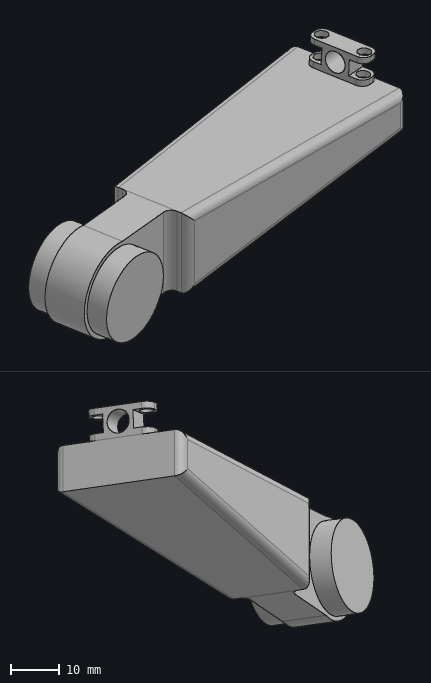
import cadquery as cq
import math

overall_length = 100.5

hub_diameter = 22.0
disc_diameter = 20.0
hub_width = 20.0

neck_width = 10.0
neck_hub_y = 2.4
neck_fillet = 2.0

body_length = 70.0
body_front_width = 20.0
body_back_width = 30.0
body_front_height = 20.0
body_back_height = 10.0
body_fillet = 2.0
taper_angle = math.degrees(math.atan((body_front_height - body_back_height) / 2 / body_length))

plate_length = 15.0
plate_depth = 5.0
plate_thickness = 1.5
plate_corner_radius = 2.0
bracket_height = 6.9
pin_spacing = 11.0
pin_diameter = 3.0
web_width = 7.0
web_height = bracket_height - 2 * plate_thickness
web_bore_diameter = 5.0

bracket_lean = bracket_height * math.sin(math.radians(taper_angle))
body_back_y = overall_length - hub_diameter / 2 - bracket_lean
body_front_y = body_back_y - body_length


def cylinder_along_x(diameter, width):
    return cq.Workplane("YZ").circle(diameter / 2).extrude(width / 2, both=True)


def make_body():
    plan = (
        cq.Workplane("XY")
        .polyline([
            (-body_front_width / 2, body_front_y),
            (body_front_width / 2, body_front_y),
            (body_back_width / 2, body_back_y),
            (-body_back_width / 2, body_back_y),
        ])
        .close()
        .extrude(body_front_height, both=True)
    )
    profile = (
        cq.Workplane("YZ")
        .polyline([
            (body_front_y, -body_front_height / 2),
            (body_front_y, body_front_height / 2),
            (body_back_y, body_back_height / 2),
            (body_back_y, -body_back_height / 2),
        ])
        .close()
        .extrude(body_back_width, both=True)
    )
    return plan.intersect(profile).faces("<X or >X").edges().fillet(body_fillet)


def make_neck():
    neck_hub_z = math.sqrt((hub_diameter / 2) ** 2 - neck_hub_y ** 2)
    profile = (
        cq.Workplane("YZ")
        .polyline([
            (neck_hub_y, -neck_hub_z),
            (neck_hub_y, neck_hub_z),
            (body_front_y, body_front_height / 2),
            (body_front_y, -body_front_height / 2),
        ])
        .close()
        .extrude(hub_width, both=True)
    )
    half_width = neck_width / 2
    flare_half_width = half_width + neck_fillet
    flare_start_y = body_front_y - neck_fillet
    plan = (
        cq.Workplane("XY")
        .moveTo(-half_width, 0)
        .lineTo(half_width, 0)
        .lineTo(half_width, flare_start_y)
        .radiusArc((flare_half_width, body_front_y), neck_fillet)
        .lineTo(-flare_half_width, body_front_y)
        .radiusArc((-half_width, flare_start_y), neck_fillet)
        .close()
        .extrude(hub_diameter, both=True)
    )
    return profile.intersect(plan)


def make_plate(bottom_z):
    return (
        cq.Workplane("XY", origin=(0, -plate_depth / 2, bottom_z))
        .rect(plate_length, plate_depth)
        .extrude(plate_thickness)
        .edges("|Z")
        .fillet(plate_corner_radius)
        .faces(">Z")
        .workplane(origin=(0, -plate_depth / 2, 0))
        .pushPoints([(-pin_spacing / 2, 0), (pin_spacing / 2, 0)])
        .hole(pin_diameter)
    )


def make_bracket():
    web = cq.Workplane("XY").box(web_width, plate_depth, web_height)
    web = web.translate((0, -plate_depth / 2, bracket_height / 2))
    bore = (
        cq.Workplane("XZ", origin=(0, 0, bracket_height / 2))
        .circle(web_bore_diameter / 2)
        .extrude(plate_depth)
    )
    upright = make_plate(0).union(make_plate(bracket_height - plate_thickness)).union(web).cut(bore)
    tilted = upright.rotate((0, 0, 0), (1, 0, 0), -taper_angle)
    return tilted.translate((0, body_back_y, body_back_height / 2))


hub = cylinder_along_x(hub_diameter, neck_width).union(cylinder_along_x(disc_diameter, hub_width))
result = hub.union(make_neck()).union(make_body()).union(make_bracket())